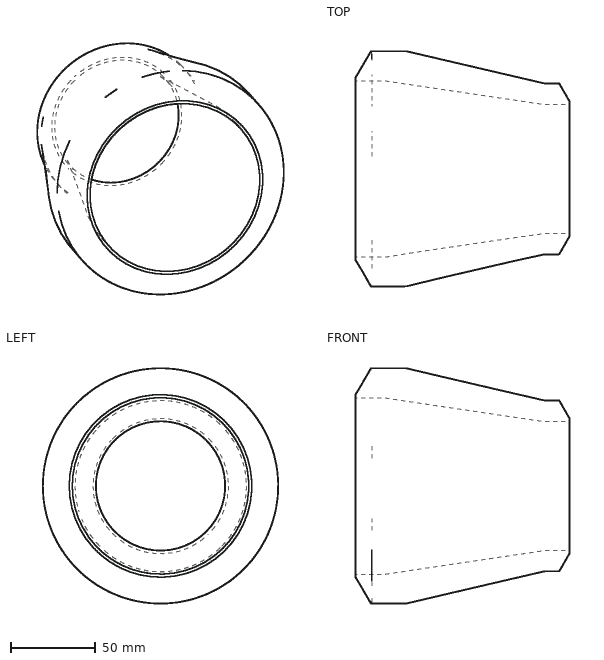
import cadquery as cq

length = 127.0
large_outer_radius = 139.7 / 2
large_bore_radius = 104.6 / 2
small_outer_radius = 101.5 / 2
small_bore_radius = 76.5 / 2

root_face = 1.8
large_bevel_length = 9.2
small_bevel_length = 6.1

outer_taper_start = 30.2
taper_end = 111.9
bore_taper_start = 17.3

large_rim_round = 0.7
small_rim_round = 1.0
neck_blend_radius = 2.1

small_bevel_start = length - small_bevel_length


def turned(outline):
    """Solid of revolution about X from (x, radius) points, closed along the axis."""
    profile = [(outline[0][0], 0), *outline, (outline[-1][0], 0)]
    return cq.Workplane("XY").polyline(profile).close().revolve(360, (0, 0, 0), (1, 0, 0))


def round_edge(body, x, radius):
    """Fillet the circular edge whose centre lies on the axis at x."""
    margin = 0.1
    around_centre = cq.selectors.BoxSelector((x - margin, -margin, -margin), (x + margin, margin, margin))
    return body.edges(around_centre).fillet(radius)


body = turned([
    (0, large_bore_radius + root_face),
    (large_bevel_length, large_outer_radius),
    (outer_taper_start, large_outer_radius),
    (taper_end, small_outer_radius),
    (small_bevel_start, small_outer_radius),
    (length, small_bore_radius + root_face),
])
body = round_edge(body, large_bevel_length, large_rim_round)
body = round_edge(body, taper_end, neck_blend_radius)
body = round_edge(body, small_bevel_start, small_rim_round)

bore = turned([
    (0, large_bore_radius),
    (bore_taper_start, large_bore_radius),
    (taper_end, small_bore_radius),
    (length, small_bore_radius),
])

result = body.cut(bore)